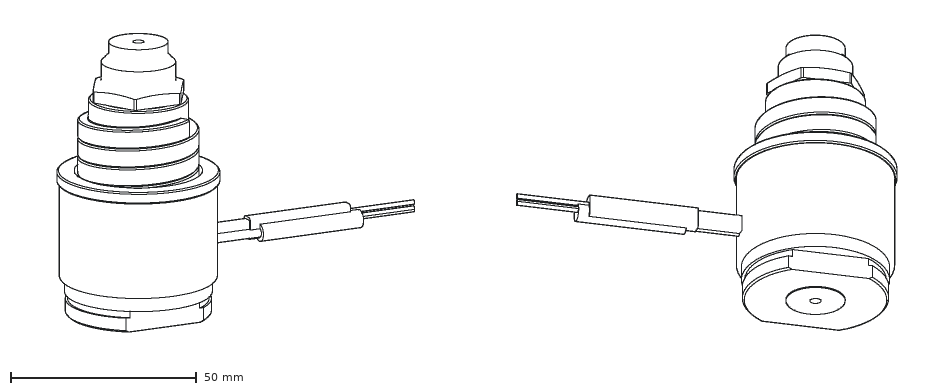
import cadquery as cq
import math

PLUG_BOTTOM_Z = 0.3
PLUG_NECK_Z = 4.3
STEP_BOTTOM_Z = 6.3
BODY_BOTTOM_Z = 10.2
FLANGE_BOTTOM_Z = 36.9
FLANGE_TOP_Z = 40.2
CORE_TOP_Z = 60.5
HEX_BOTTOM_Z = 60.9
HEX_TOP_Z = 64.7
NECK_FILLET_TOP_Z = 65.6
SHOULDER_Z = 70.7
TOTAL_HEIGHT = 76.3

BOSS_RADIUS = 8.0
PLUG_RADIUS = 19.7
PLUG_NECK_RADIUS = 19.1
STEP_RADIUS = 40.0 / 2
BODY_RADIUS = 42.7 / 2
FLANGE_RADIUS = 44.0 / 2
CORE_RADIUS = 13.5
HEX_NECK_RADIUS = 11.1
NOSE_RADIUS = 20.2 / 2
TIP_RADIUS = 8.0
BORE_RADIUS = 1.5

EDGE_CHAMFER = 0.4
BODY_EDGE_FILLET = 0.6
PLUG_EDGE_CHAMFER = 0.5
PLUG_ACROSS_FLATS = 31.9

HEX_SIDES = 6
HEX_ACROSS_FLATS = 23.7
HEX_CORNER_RADIUS = CORE_RADIUS
HEX_CROWN_DROP = 0.7
NECK_FILLET = NECK_FILLET_TOP_Z - HEX_TOP_Z

SHOULDER_TOP_RADIUS = 8.3
SHOULDER_TOP_Z = SHOULDER_Z + NOSE_RADIUS - SHOULDER_TOP_RADIUS
TIP_BOTTOM_Z = 73.2
TIP_BLEND_RADIUS = 1.1

THREAD_RADIUS = 16.4
THREAD_PITCH = 5.3
THREAD_END_ANGLE = 31.0
THREAD_CREST_Z = 56.4
GROOVE_DEPTH = 0.4
ROOT_CHAMFER = 0.2
RECESS_RADIUS = 17.3
RECESS_DEPTH = 3.2
CUT_CLEARANCE = 1.1

TOTAL_LENGTH = 105.5
WIRE_END_Y = TOTAL_LENGTH - FLANGE_RADIUS
SLEEVE_LENGTH = 30.2
FLAT_SLEEVE_START_Y = 33.4
ROUND_SLEEVE_START_Y = 36.4
CABLE_ROOT_OVERLAP = 2.1
CABLE_ROOT_Y = BODY_RADIUS - CABLE_ROOT_OVERLAP
FLAT_CABLE_X = -1.4
FLAT_CABLE_Z = 19.5
FLAT_CABLE_WIDTH = 2.8
FLAT_CABLE_HEIGHT = 4.6
FLAT_CABLE_FILLET = 0.4
FLAT_SLEEVE_WIDTH = 3.8
FLAT_SLEEVE_HEIGHT = 6.1
FLAT_SLEEVE_FILLET = 1.0
ROUND_CABLE_Z = 18.1
ROUND_CABLE_RADIUS = 1.3
ROUND_SLEEVE_RADIUS = 5.0 / 2
WIRE_RADIUS = 0.6
WIRE_OVERLAP = 1.1
WIRE_Z_POSITIONS = (20.3, 18.6, ROUND_CABLE_Z)


def disc(radius, bottom, top):
    """Upright cylinder on the main axis."""
    return cq.Workplane("XY").workplane(offset=bottom).circle(radius).extrude(top - bottom)


def turned(shape, angle):
    """Shape turned about the main axis by an angle in degrees."""
    return shape.rotate((0, 0, 0), (0, 0, 1), angle)


def across_flats_slab(width, bottom, top):
    """Block whose two X faces are the wrench flats."""
    length = 2 * STEP_RADIUS
    return cq.Workplane("XY").workplane(offset=bottom).rect(width, length).extrude(top - bottom)


def make_plug():
    """Bottom plug: end boss, flatted rim and flatted neck."""
    rim = disc(PLUG_RADIUS, PLUG_BOTTOM_Z, PLUG_NECK_Z).faces("<Z").chamfer(PLUG_EDGE_CHAMFER)
    neck = disc(PLUG_NECK_RADIUS, PLUG_NECK_Z, STEP_BOTTOM_Z)
    flats = across_flats_slab(PLUG_ACROSS_FLATS, PLUG_BOTTOM_Z, STEP_BOTTOM_Z)
    boss = disc(BOSS_RADIUS, 0, PLUG_BOTTOM_Z)
    return rim.union(neck).intersect(flats).union(boss)


def make_housing():
    """Main body with its lower step, top flange and the recess around the thread."""
    step = disc(STEP_RADIUS, STEP_BOTTOM_Z, BODY_BOTTOM_Z)
    body = disc(BODY_RADIUS, BODY_BOTTOM_Z, FLANGE_BOTTOM_Z).faces("<Z").edges().fillet(BODY_EDGE_FILLET)
    flange = disc(FLANGE_RADIUS, FLANGE_BOTTOM_Z, FLANGE_TOP_Z).faces("<Z or >Z").chamfer(EDGE_CHAMFER)
    recess = disc(RECESS_RADIUS, FLANGE_TOP_Z - RECESS_DEPTH, FLANGE_TOP_Z)
    return step.union(body).union(flange).cut(recess)


def helical_sweep(profile, start_z, turns):
    """Sweep an (r, z) outline, z measured from the helix, up a helix that begins at +X."""
    path = cq.Wire.makeHelix(THREAD_PITCH, THREAD_PITCH * turns, THREAD_RADIUS)
    swept = cq.Workplane("XZ").polyline(profile).close().sweep(cq.Workplane(path), isFrenet=True)
    return swept.translate((0, 0, start_z))


def make_threaded_core():
    """Plain core with a wide-crested thread separated by a shallow V groove."""
    floor_z = FLANGE_TOP_Z - RECESS_DEPTH
    end_rise = THREAD_PITCH * THREAD_END_ANGLE / 360
    end_z = THREAD_CREST_Z + end_rise
    thread = disc(THREAD_RADIUS, floor_z, end_z)

    inner = CORE_RADIUS - CUT_CLEARANCE
    outer = THREAD_RADIUS + CUT_CLEARANCE
    half_turn_above = helical_sweep(
        [
            (inner, ROOT_CHAMFER + CUT_CLEARANCE),
            (CORE_RADIUS + ROOT_CHAMFER, 0),
            (outer, 0),
            (outer, THREAD_PITCH + CUT_CLEARANCE),
            (inner, THREAD_PITCH + CUT_CLEARANCE),
        ],
        end_z - THREAD_PITCH,
        0.5,
    )
    next_half_turn_above = turned(half_turn_above, 180).translate((0, 0, THREAD_PITCH / 2))
    groove_half_width = GROOVE_DEPTH + CUT_CLEARANCE
    groove_turns = math.ceil((end_z - floor_z) / THREAD_PITCH)
    groove = helical_sweep(
        [
            (THREAD_RADIUS - GROOVE_DEPTH, 0),
            (outer, groove_half_width),
            (outer, -groove_half_width),
        ],
        end_z - THREAD_PITCH * groove_turns,
        groove_turns,
    )
    for cutter in (half_turn_above, next_half_turn_above, groove):
        thread = thread.cut(turned(cutter, THREAD_END_ANGLE))

    core = disc(CORE_RADIUS, floor_z, CORE_TOP_Z).faces(">Z").chamfer(EDGE_CHAMFER)
    return thread.union(core)


def make_hex_nut():
    """Hexagon with rounded corners and a conical crown, on a short round neck."""
    half_side_angle = 360 / HEX_SIDES / 2
    across_corners = HEX_ACROSS_FLATS / math.cos(math.radians(half_side_angle))
    blank = cq.Workplane("XY").workplane(offset=HEX_BOTTOM_Z).polygon(HEX_SIDES, across_corners)
    hexagon = turned(blank.extrude(HEX_TOP_Z - HEX_BOTTOM_Z), half_side_angle)
    crown_radius = NOSE_RADIUS + NECK_FILLET
    envelope = (
        cq.Workplane("XZ")
        .moveTo(0, HEX_BOTTOM_Z)
        .lineTo(HEX_CORNER_RADIUS, HEX_BOTTOM_Z)
        .lineTo(HEX_CORNER_RADIUS, HEX_TOP_Z - HEX_CROWN_DROP)
        .lineTo(crown_radius, HEX_TOP_Z)
        .lineTo(0, HEX_TOP_Z)
        .close()
        .revolve()
    )
    return hexagon.intersect(envelope).union(disc(HEX_NECK_RADIUS, CORE_TOP_Z, HEX_BOTTOM_Z))


def make_nose():
    """Round nose: concave foot, cylinder, sloped shoulder and narrower tip."""
    foot_radius = NOSE_RADIUS + NECK_FILLET
    return (
        cq.Workplane("XZ")
        .moveTo(0, HEX_TOP_Z)
        .lineTo(foot_radius, HEX_TOP_Z)
        .radiusArc((NOSE_RADIUS, NECK_FILLET_TOP_Z), NECK_FILLET)
        .lineTo(NOSE_RADIUS, SHOULDER_Z)
        .lineTo(SHOULDER_TOP_RADIUS, SHOULDER_TOP_Z)
        .radiusArc((TIP_RADIUS, TIP_BOTTOM_Z), TIP_BLEND_RADIUS)
        .lineTo(TIP_RADIUS, TOTAL_HEIGHT)
        .lineTo(0, TOTAL_HEIGHT)
        .close()
        .revolve()
    )


def rod_along_y(x, z, radius, start, end):
    """Round rod running in +Y."""
    return cq.Workplane("XZ", origin=(x, start, z)).circle(radius).extrude(start - end)


def bar_along_y(width, height, fillet, start, end):
    """Flat bar with rounded long edges running in +Y at the flat cable's position."""
    section = cq.Workplane("XZ", origin=(FLAT_CABLE_X, start, FLAT_CABLE_Z)).rect(width, height)
    return section.extrude(start - end).edges("|Y").fillet(fillet)


def make_cables():
    """Flat and round cables, each with a sleeve, and the bare wires at their ends."""
    flat_sleeve_end = FLAT_SLEEVE_START_Y + SLEEVE_LENGTH
    round_sleeve_end = ROUND_SLEEVE_START_Y + SLEEVE_LENGTH
    cables = bar_along_y(
        FLAT_CABLE_WIDTH, FLAT_CABLE_HEIGHT, FLAT_CABLE_FILLET, CABLE_ROOT_Y, FLAT_SLEEVE_START_Y
    )
    flat_sleeve = bar_along_y(
        FLAT_SLEEVE_WIDTH, FLAT_SLEEVE_HEIGHT, FLAT_SLEEVE_FILLET, FLAT_SLEEVE_START_Y, flat_sleeve_end
    )
    round_cable = rod_along_y(0, ROUND_CABLE_Z, ROUND_CABLE_RADIUS, CABLE_ROOT_Y, ROUND_SLEEVE_START_Y)
    round_sleeve = rod_along_y(0, ROUND_CABLE_Z, ROUND_SLEEVE_RADIUS, ROUND_SLEEVE_START_Y, round_sleeve_end)
    cables = cables.union(flat_sleeve).union(round_cable).union(round_sleeve)
    wire_start = flat_sleeve_end - WIRE_OVERLAP
    for wire_z in WIRE_Z_POSITIONS:
        cables = cables.union(rod_along_y(FLAT_CABLE_X, wire_z, WIRE_RADIUS, wire_start, WIRE_END_Y))
    return cables


result = make_plug()
for section in (make_housing(), make_threaded_core(), make_hex_nut(), make_nose(), make_cables()):
    result = result.union(section)
result = result.cut(disc(BORE_RADIUS, 0, TOTAL_HEIGHT))